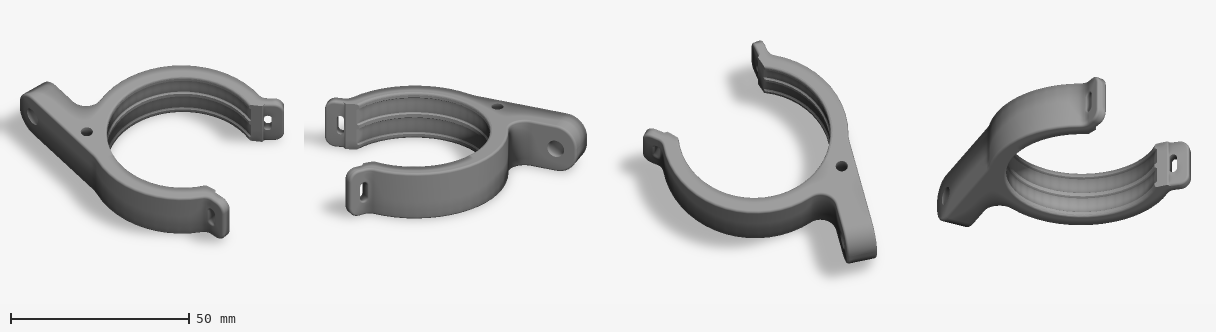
import cadquery as cq
import math

height = 14.5
outer_radius = 26.2
edge_round = 0.65

bore_radius = 21.35
bore_shift = 0.35
lip_width = 1.45
middle_rib_width = 1.1
groove_depth = 0.5
groove_slope = 0.35

mouth_angle = 30.2
mouth_chord = 13.0
end_face_outer = (17.3, 17.6)
end_face_angle = 13.0

tab_root = (17.5, 18.15)
tab_angle = 21.0
tab_length = 5.7
tab_thickness = 3.05
tab_blend = 2.75
tab_corner = 3.0

slot_width = 2.2
slot_height = 5.85
slot_from_tip = 4.55
slot_rim_round = 0.5

arm_end_x = -42.0
arm_front_y = -25.2
arm_back_y = -16.6
arm_corner = 6.2
arm_back_blend = 4.5
arm_front_blend = 10.0
arm_hole_diameter = 5.1

web_hole_diameter = 3.4
web_hole_depth = 7.2
web_hole_center = (-16.35, -21.05)


def polar(radius, angle):
    """Point at a radius and an angle in degrees."""
    return (radius * math.cos(math.radians(angle)), radius * math.sin(math.radians(angle)))


def move(point, distance, angle):
    """Point reached by going a distance in a direction given in degrees."""
    step = polar(distance, angle)
    return (point[0] + step[0], point[1] + step[1])


def mouth_to_part(point, side):
    """Turn mouth coordinates into X, Y; side is +1 or -1 of the mouth direction."""
    along, across = point
    return move(polar(along, mouth_angle), side * across, mouth_angle + 90)


def blend_to_ring(line_offset, radius):
    """Blend between a straight line and the ring's outer circle.

    Turned so that the line is horizontal, it lies at line_offset with the blend centre above it.
    Returns (distance along the line to the tangent point, direction of the blend centre in degrees).
    """
    center_distance = outer_radius + radius
    rise = line_offset + radius
    run = math.sqrt(center_distance**2 - rise**2)
    return run, math.degrees(math.atan2(rise, run))


def arc_middle(center, radius, first, second):
    """Point halfway along the short arc between two points around a centre."""
    mid_angle = math.atan2(
        first[1] + second[1] - 2 * center[1],
        first[0] + second[0] - 2 * center[0],
    )
    return move(center, radius, math.degrees(mid_angle))


def tab_points():
    """Named points of one ring end with its tab, in mouth coordinates."""
    reach = (end_face_outer[0] - mouth_chord) / math.cos(math.radians(end_face_angle))
    tip_inner = move(tab_root, tab_length, tab_angle)
    tip_outer = move(tip_inner, tab_thickness, tab_angle + 90)
    tilt = math.radians(tab_angle)
    line_offset = tip_outer[1] * math.cos(tilt) - tip_outer[0] * math.sin(tilt)
    run, rise_angle = blend_to_ring(line_offset, tab_blend)
    center = polar(outer_radius + tab_blend, tab_angle + rise_angle)
    blend_tab = move(center, tab_blend, tab_angle - 90)
    blend_ring = polar(outer_radius, tab_angle + rise_angle)
    return {
        "chord": move(end_face_outer, -reach, end_face_angle),
        "end": end_face_outer,
        "root": tab_root,
        "tip_inner": tip_inner,
        "tip_outer": tip_outer,
        "blend_tab": blend_tab,
        "blend_middle": arc_middle(center, tab_blend, blend_tab, blend_ring),
        "blend_ring": blend_ring,
    }


def body():
    """Solid outline of ring, tabs and arm; the bore is still filled up to the mouth chord."""
    upper = {name: mouth_to_part(point, 1) for name, point in tab_points().items()}
    lower = {name: mouth_to_part(point, -1) for name, point in tab_points().items()}

    back_run, back_rise = blend_to_ring(arm_back_y, arm_back_blend)
    back_center = (-back_run, arm_back_y + arm_back_blend)
    back_arm = (-back_run, arm_back_y)
    back_ring = polar(outer_radius, 180 - back_rise)

    front_run, front_rise = blend_to_ring(-arm_front_y, arm_front_blend)
    front_center = (-front_run, arm_front_y - arm_front_blend)
    front_arm = (-front_run, arm_front_y)
    front_ring = polar(outer_radius, 180 + front_rise)

    return (
        cq.Workplane("XY")
        .workplane(offset=-height / 2)
        .moveTo(*upper["chord"])
        .lineTo(*upper["end"])
        .lineTo(*upper["root"])
        .lineTo(*upper["tip_inner"])
        .lineTo(*upper["tip_outer"])
        .lineTo(*upper["blend_tab"])
        .threePointArc(upper["blend_middle"], upper["blend_ring"])
        .threePointArc((-outer_radius, 0), back_ring)
        .threePointArc(arc_middle(back_center, arm_back_blend, back_ring, back_arm), back_arm)
        .lineTo(arm_end_x, arm_back_y)
        .lineTo(arm_end_x, arm_front_y)
        .lineTo(*front_arm)
        .threePointArc(arc_middle(front_center, arm_front_blend, front_arm, front_ring), front_ring)
        .threePointArc(polar(outer_radius, mouth_angle - 90), lower["blend_ring"])
        .threePointArc(lower["blend_middle"], lower["blend_tab"])
        .lineTo(*lower["tip_outer"])
        .lineTo(*lower["tip_inner"])
        .lineTo(*lower["root"])
        .lineTo(*lower["end"])
        .lineTo(*lower["chord"])
        .close()
        .extrude(height)
    )


def edges_at(solid, points):
    """Edges of the solid whose middle lies at one of the given points."""
    tolerance = 0.01
    wanted = [cq.Vector(*point) for point in points]
    picked = [
        edge
        for edge in solid.edges().vals()
        if any((edge.positionAt(0.5) - point).Length < tolerance for point in wanted)
    ]
    return solid.newObject(picked)


def round_corners(solid):
    """Round the arm end and the tab tips as seen from their flat sides."""
    arm_middle = (arm_end_x, (arm_front_y + arm_back_y) / 2)
    tip_middle = move(move(tab_root, tab_length, tab_angle), tab_thickness / 2, tab_angle + 90)
    tips = [mouth_to_part(tip_middle, side) for side in (1, -1)]
    faces_z = (height / 2, -height / 2)
    solid = edges_at(solid, [(*arm_middle, z) for z in faces_z]).fillet(arm_corner)
    return edges_at(solid, [(*tip, z) for tip in tips for z in faces_z]).fillet(tab_corner)


def round_rims(solid):
    """Round the outer rims; each rounding runs on along the edges tangent to its starting edge."""
    inner_middle = move(tab_root, (tab_length - tab_corner) / 2, tab_angle)
    starts = [mouth_to_part(inner_middle, side) for side in (1, -1)]
    front_run, _ = blend_to_ring(-arm_front_y, arm_front_blend)
    back_run, _ = blend_to_ring(arm_back_y, arm_back_blend)
    starts += [
        ((arm_end_x + arm_corner - front_run) / 2, arm_front_y),
        ((arm_end_x + arm_corner - back_run) / 2, arm_back_y),
    ]
    points = [(*start, z) for start in starts for z in (height / 2, -height / 2)]
    return edges_at(solid, points).fillet(edge_round)


def bore():
    """Bore with rounded rims and two shallow grooves between the lips and the middle rib."""
    top = height / 2
    groove_radius = bore_radius + groove_depth
    rim_radius = bore_radius + edge_round
    arc_offset = edge_round * (1 - math.sqrt(0.5))
    groove_top = top - lip_width
    groove_bottom = middle_rib_width / 2
    profile = (
        cq.Workplane("XZ")
        .moveTo(0, top)
        .lineTo(rim_radius, top)
        .threePointArc((bore_radius + arc_offset, top - arc_offset), (bore_radius, top - edge_round))
    )
    for upper_z, lower_z in ((groove_top, groove_bottom), (-groove_bottom, -groove_top)):
        profile = (
            profile.lineTo(bore_radius, upper_z)
            .lineTo(groove_radius, upper_z - groove_slope)
            .lineTo(groove_radius, lower_z + groove_slope)
            .lineTo(bore_radius, lower_z)
        )
    return (
        profile.lineTo(bore_radius, edge_round - top)
        .threePointArc((bore_radius + arc_offset, arc_offset - top), (rim_radius, -top))
        .lineTo(0, -top)
        .close()
        .revolve(360, (0, 0, 0), (0, 1, 0))
        .translate((*polar(bore_shift, mouth_angle), 0))
    )


def slot_plane(side):
    """Plane across the slot of one tab, with its normal pointing out of the tab's outer face."""
    center = move(tab_root, tab_length - slot_from_tip, tab_angle)
    center = move(center, tab_thickness / 2, tab_angle + 90)
    return cq.Plane(
        origin=(*mouth_to_part(center, side), 0),
        xDir=(0, 0, 1),
        normal=(*polar(1, mouth_angle + side * (tab_angle + 90)), 0),
    )


def tab_slot(side):
    """Cutter for the strap slot through one tab."""
    slot = cq.Workplane(slot_plane(side)).slot2D(slot_height, slot_width)
    return slot.extrude(2 * tab_thickness, both=True)


def round_slot_rim(solid, side):
    """Round the slot's rim on the outer face of one tab, leaving its straight side walls alone."""
    plane = slot_plane(side)
    tolerance = 0.01
    rim = []
    for edge in solid.edges().vals():
        middle = plane.toLocalCoords(edge.positionAt(0.5))
        in_slot = (
            abs(middle.x) < slot_height / 2 + tolerance
            and abs(middle.y) < slot_width / 2 + tolerance
        )
        along_wall = edge.BoundingBox().zlen < tolerance
        if in_slot and 0 < middle.z < tab_thickness and not along_wall:
            rim.append(edge)
    return solid.newObject(rim).fillet(slot_rim_round)


def arm_hole():
    """Screw hole through the arm along Y, concentric with the rounded arm end."""
    return (
        cq.Workplane("XZ", origin=(arm_end_x + arm_corner, arm_back_y, 0))
        .circle(arm_hole_diameter / 2)
        .extrude(arm_back_y - arm_front_y)
    )


def web_hole():
    """Blind hole sunk into the web from the top face."""
    return (
        cq.Workplane("XY", origin=(*web_hole_center, height / 2))
        .circle(web_hole_diameter / 2)
        .extrude(-web_hole_depth)
    )


result = round_rims(round_corners(body()))
result = result.cut(bore())
for tab_side in (1, -1):
    result = result.cut(tab_slot(tab_side))
    result = round_slot_rim(result, tab_side)
result = result.cut(arm_hole()).cut(web_hole())